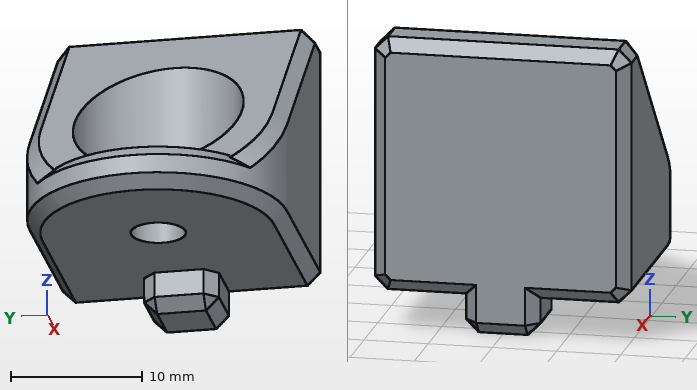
import cadquery as cq

length = 24.0
width = 20.0
height = 20.0
chamfer = 1.0
plate_thickness = 3.5
slope_foot_x = -6.0
pocket_diameter = 13.0
screw_hole_diameter = 4.2
tab_length = 5.95
tab_width = 5.8
tab_drop = 3.0

nose_radius = width / 2
back_x = length - nose_radius
ridge_x = slope_foot_x + height - plate_thickness


def d_prism(bottom, top):
    """Upright prism with a round nose towards -X and a flat back."""
    return (
        cq.Workplane("XY", origin=(0, 0, bottom))
        .moveTo(0, nose_radius)
        .threePointArc((-nose_radius, 0), (0, -nose_radius))
        .lineTo(back_x, -nose_radius)
        .lineTo(back_x, nose_radius)
        .close()
        .extrude(top - bottom)
    )


def make_wedge():
    """Sloped block with chamfered top and slope rims, running below the underside."""
    overrun = height
    slope_rise = height + overrun
    above_slope = (
        cq.Workplane("XZ")
        .moveTo(ridge_x, height)
        .lineTo(ridge_x - slope_rise, -overrun)
        .lineTo(ridge_x - slope_rise, height)
        .close()
        .extrude(width, both=True)
    )
    block = d_prism(-overrun, height).cut(above_slope)
    upper_faces = block.faces("(-1, 0, 1) or >Z")
    return upper_faces.edges("not |Y").chamfer(chamfer)


def make_plate():
    """Low base plate chamfered around its top."""
    plate = d_prism(0, plate_thickness)
    return plate.faces(">Z").edges("not >X").chamfer(chamfer)


def make_body():
    """Wedge and plate joined, then chamfered around the underside and the back."""
    body = make_wedge().union(make_plate())
    below_underside = cq.Workplane("XY").box(
        2 * length, 2 * width, height, centered=(True, True, False)
    ).translate((0, 0, -height))
    body = body.cut(below_underside)
    body = body.faces("<Z").edges("not >X").chamfer(chamfer)
    return body.faces(">X").edges().chamfer(chamfer)


def make_tab():
    """Locating tab under the back, reaching up into the plate."""
    tab_height = tab_drop + plate_thickness
    tab = (
        cq.Workplane("XY", origin=(back_x - tab_length / 2, 0, -tab_drop))
        .box(tab_length, tab_width, tab_height, centered=(True, True, False))
    )
    return tab.edges("|Z or <Z").chamfer(chamfer)


def vertical_cutter(diameter, bottom):
    """Cylinder on the screw axis, from the given level to the top of the body."""
    return cq.Workplane("XY", origin=(0, 0, bottom)).circle(diameter / 2).extrude(height - bottom)


result = (
    make_body()
    .union(make_tab())
    .cut(vertical_cutter(pocket_diameter, plate_thickness))
    .cut(vertical_cutter(screw_hole_diameter, 0))
)